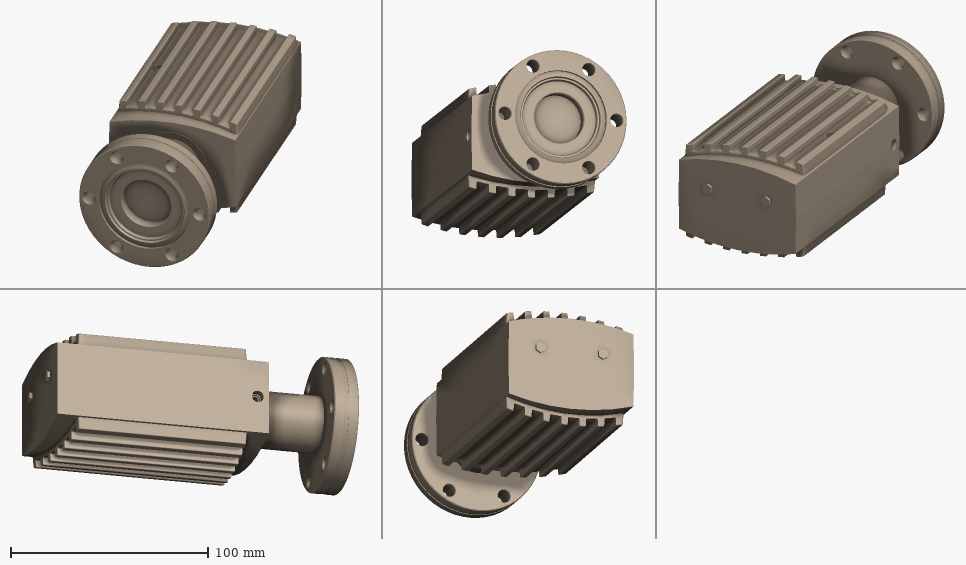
import cadquery as cq
import math

matching_tolerance = 0.08

flange_thickness = 13.0
housing_front = 47.1
housing_back = 158.3
overall_length = 159.7
housing_middle = (housing_front + housing_back) / 2

housing_half_width = 33.7
housing_corner_x = 33.4
housing_corner_z = 19.2
crown_z = 24.0
crown_rise = crown_z - housing_corner_z
crown_radius = (housing_corner_x**2 + crown_rise**2) / (2 * crown_rise)
crown_center_z = crown_z - crown_radius

pad_left = -32.3
pad_right = 33.0
pad_height = 12.8
pad_left_half_length = 44.4
pad_right_half_length = 50.5
pad_draft = 4.0
pad_corner_fillet = 0.8
valley_floor_height = 1.6
fin_height = 5.7
fin_count = 7
fin_pitch = 10.0
first_fin_x = -29.7
fin_root_width = 4.2
fin_tip_width = 3.4
fin_root_fillet = 0.6
fin_tip_fillet = 0.5

adjuster_x = -25.0
adjuster_y = 103.0
adjuster_hole_diameter = 6.0
adjuster_hole_depth = 3.2
adjuster_cone_height = 1.9
adjuster_tip_diameter = 2.4

side_hole_y = 53.0
side_hole_steps = [(6.0, 4.8), (4.8, 5.7), (3.0, 9.6)]

flange_diameter = 69.5
flange_edge_chamfer = 0.5
groove_start = 5.3
groove_end = 7.7
groove_depth = 0.3
bolt_count = 6
bolt_circle_radius = 29.4
bolt_hole_diameter = 6.5
bolt_hole_chamfer = 0.3
tube_diameter = 29.4
collar_diameter = 36.4
collar_length = 4.8
collar_clearance = 0.3
seal_recess_radius = 24.1
seal_recess_depth = 1.6
knife_radius = 21.1
knife_depth = 0.6
ledge_outer_radius = 20.6
ledge_inner_radius = 19.8
ledge_depth = 1.8
port_floor_radius = 19.2
port_floor_depth = 3.2
bore_diameter = 25.9
bore_chamfer = 0.5
bore_depth = 5.3

post_spacing = 33.4
post_z = 6.7
post_sides = 6
post_across_corners = 5.6
plate_width = 39.1
plate_height = 12.5
plate_thickness = 1.6


def crown_cylinder(height_above_crown):
    """Cylinder along Y, concentric with the crown of the housing."""
    return (
        cq.Workplane("XZ", origin=(0, housing_back, 0))
        .center(0, crown_center_z)
        .circle(crown_radius + height_above_crown)
        .extrude(housing_back - housing_front)
    )


def make_shell():
    """Plain housing block: drafted sides, crowned top and bottom."""
    return (
        cq.Workplane("XZ", origin=(0, housing_back, 0))
        .moveTo(housing_half_width, 0)
        .lineTo(housing_corner_x, housing_corner_z)
        .threePointArc((0, crown_z), (-housing_corner_x, housing_corner_z))
        .lineTo(-housing_half_width, 0)
        .lineTo(-housing_corner_x, -housing_corner_z)
        .threePointArc((0, -crown_z), (housing_corner_x, -housing_corner_z))
        .close()
        .extrude(housing_back - housing_front)
    )


def make_valley(left_fin_x):
    """Cutter for the gap between a fin and the next one, down to the valley floor."""
    floor_z = housing_corner_z
    tip_z = crown_z + fin_height
    right_fin_x = left_fin_x + fin_pitch
    cutter = (
        cq.Workplane("XZ", origin=(0, housing_back, 0))
        .polyline([
            (left_fin_x + fin_root_width / 2, floor_z),
            (left_fin_x + fin_tip_width / 2, tip_z),
            (right_fin_x - fin_tip_width / 2, tip_z),
            (right_fin_x - fin_root_width / 2, floor_z),
        ])
        .close()
        .extrude(housing_back - housing_front)
    )
    cutter = cutter.cut(crown_cylinder(valley_floor_height))
    floor_face = cutter.faces("%CYLINDER")
    root_edges = floor_face.edges("|Y")
    return root_edges.fillet(fin_root_fillet)


def is_fin_tip(face):
    """True for a face that lies at the full fin height above the crown."""
    center = face.Center()
    height_above_crown = math.hypot(center.x, center.z - crown_center_z) - crown_radius
    return abs(height_above_crown - fin_height) < matching_tolerance


def make_fin_pad():
    """Tapered pad with fins that run along Y, for the top of the housing."""
    pad = (
        cq.Workplane("XY")
        .polyline([
            (pad_left, housing_middle - pad_left_half_length),
            (pad_right, housing_middle - pad_right_half_length),
            (pad_right, housing_middle + pad_right_half_length),
            (pad_left, housing_middle + pad_left_half_length),
        ])
        .close()
        .extrude(pad_height, taper=pad_draft)
        .edges("not #Z")
        .fillet(pad_corner_fillet)
        .translate((0, 0, housing_corner_z))
        .intersect(crown_cylinder(fin_height))
    )
    for index in range(fin_count - 1):
        pad = pad.cut(make_valley(first_fin_x + index * fin_pitch))
    tip_faces = pad.faces().filter(is_fin_tip)
    return tip_faces.edges().fillet(fin_tip_fillet)


def make_adjuster_recess():
    """Round recess that leaves a truncated cone standing on its floor."""
    valley_floor_z = (
        crown_center_z + math.sqrt((crown_radius + valley_floor_height)**2 - adjuster_x**2)
    )
    floor_z = valley_floor_z - adjuster_hole_depth
    floor = cq.Workplane("XY", origin=(adjuster_x, adjuster_y, floor_z))
    hole = floor.circle(adjuster_hole_diameter / 2).extrude(adjuster_hole_depth + fin_height)
    cone = cq.Workplane(cq.Solid.makeCone(
        adjuster_hole_diameter / 2, adjuster_tip_diameter / 2, adjuster_cone_height,
        cq.Vector(adjuster_x, adjuster_y, floor_z),
    ))
    return hole.cut(cone)


def make_collar_pocket():
    """Round pocket in the housing front, slightly wider than the collar it holds."""
    return (
        cq.Workplane("XZ", origin=(0, housing_front, 0))
        .circle(collar_diameter / 2 + collar_clearance)
        .extrude(-collar_length)
    )


def make_housing():
    pad = make_fin_pad()
    housing = make_shell().union(pad).union(pad.mirror("XY"))
    housing = housing.cut(make_adjuster_recess())
    side = cq.Workplane("YZ", origin=(-housing_half_width, side_hole_y, 0))
    for diameter, depth in side_hole_steps:
        housing = housing.cut(side.circle(diameter / 2).extrude(depth))
    return housing.cut(make_collar_pocket())


def make_sensor():
    """Flange, tube and collar turned about Y, with the bolt holes drilled."""
    flange_radius = flange_diameter / 2
    groove_radius = flange_radius - groove_depth
    bore_end = port_floor_depth + bore_depth
    sensor = (
        cq.Workplane("XY")
        .polyline([
            (0, bore_end),
            (bore_diameter / 2, bore_end),
            (bore_diameter / 2, port_floor_depth + bore_chamfer),
            (bore_diameter / 2 + bore_chamfer, port_floor_depth),
            (port_floor_radius, port_floor_depth),
            (ledge_inner_radius, ledge_depth),
            (ledge_outer_radius, ledge_depth),
            (knife_radius, knife_depth),
            (seal_recess_radius, seal_recess_depth),
            (seal_recess_radius, 0),
            (flange_radius - flange_edge_chamfer, 0),
            (flange_radius, flange_edge_chamfer),
            (flange_radius, groove_start),
            (groove_radius, groove_start),
            (groove_radius, groove_end),
            (flange_radius, groove_end),
            (flange_radius, flange_thickness - flange_edge_chamfer),
            (flange_radius - flange_edge_chamfer, flange_thickness),
            (tube_diameter / 2, flange_thickness),
            (tube_diameter / 2, housing_front),
            (collar_diameter / 2, housing_front),
            (collar_diameter / 2, housing_front + collar_length),
            (0, housing_front + collar_length),
        ])
        .close()
        .revolve(360, (0, 0, 0), (0, 1, 0))
    )
    bolt_holes = (
        cq.Workplane("XZ")
        .polarArray(bolt_circle_radius, 0, 360, bolt_count)
        .circle(bolt_hole_diameter / 2)
        .extrude(-flange_thickness)
    )
    sensor = sensor.cut(bolt_holes)
    hole_radius = bolt_hole_diameter / 2
    hole_rims = sensor.edges("%CIRCLE").filter(
        lambda edge: abs(edge.radius() - hole_radius) < matching_tolerance
    )
    return hole_rims.chamfer(bolt_hole_chamfer)


def make_connector():
    """Plate flush with the back of the housing, carrying two hexagonal posts."""
    plate = (
        cq.Workplane("XZ", origin=(0, housing_back, post_z))
        .rect(plate_width, plate_height)
        .extrude(plate_thickness)
    )
    corner_radius = post_across_corners / 2
    corner_angle = 2 * math.pi / post_sides
    corners = [
        (corner_radius * math.sin(i * corner_angle), corner_radius * math.cos(i * corner_angle))
        for i in range(post_sides)
    ]
    connector = plate
    for post_x in (-post_spacing / 2, post_spacing / 2):
        post = (
            cq.Workplane("XZ", origin=(post_x, housing_back, post_z))
            .polyline(corners)
            .close()
            .extrude(housing_back - overall_length)
        )
        connector = connector.union(post)
    return connector


sensor = make_sensor()
connector = make_connector()
housing = make_housing().cut(connector)

result = cq.Compound.makeCompound([housing.val(), sensor.val(), connector.val()])